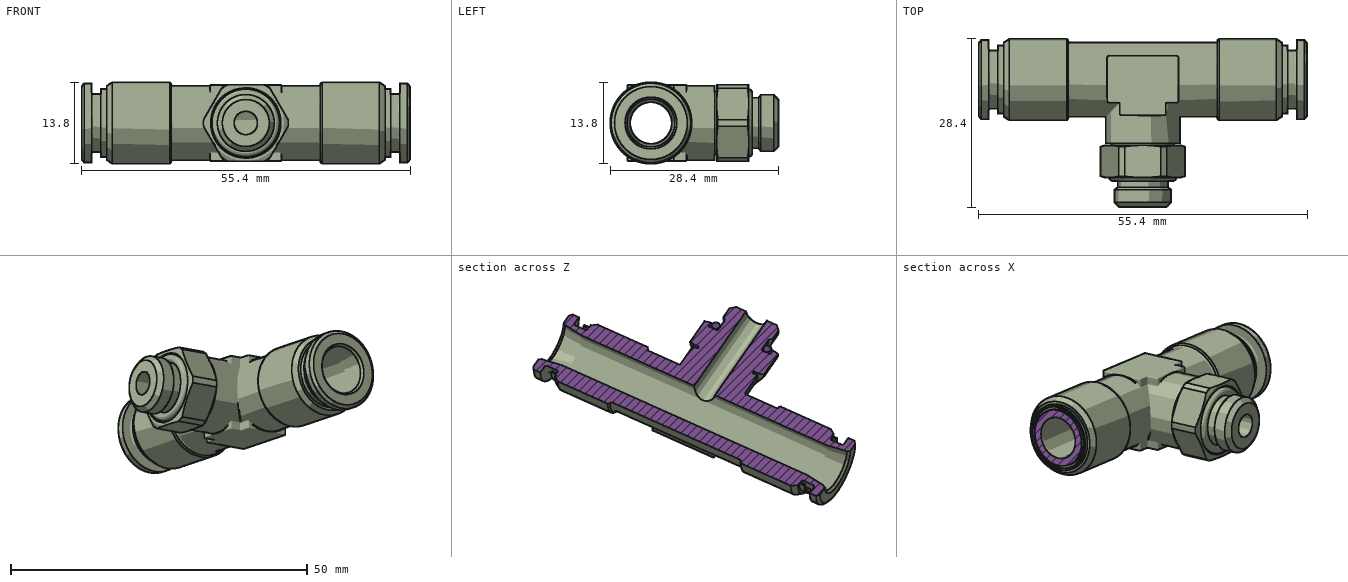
import cadquery as cq
import math


run_half_length = 27.7
barrel_radius = 12.6 / 2
collar_radius = 13.8 / 2
flange_radius = 6.7
flange_length = 1.7
flange_chamfer_length = 0.45
flange_chamfer_depth = 0.55
collet_neck_radius = 4.95
collet_neck_fillet = 0.3
lip_radius = 5.75
lip_gap_radius = 5.4
lip_gap_depth = 0.85
lip_start = 3.25
collar_start = 4.2
collar_cone_length = 1.0
collar_cone_depth = 0.65
collar_end = 15.1
collar_end_chamfer = 0.3
collar_root_fillet = 0.2

bore_radius = 3.5
taper_radius = 4.05
taper_end = 4.05
mouth_length = 0.5
mouth_radius = 4.4

overall_depth = 28.4
stem_end = 10.75
gap_neck_radius = 5.3
hex_start = 11.1
hex_end = 16.5
hex_across_flats = 12.9
hex_corner_radius = 7.15
hex_chamfer_radius = 6.4
hex_chamfer_length = 0.2
thread_neck_radius = 4.25
thread_neck_end = 18.15
thread_radius = 9.6 / 2
thread_lead_in = 0.4
thread_end_chamfer = 0.85
branch_end = overall_depth - collar_radius
branch_bore_radius = 3.95 / 2

ring_thickness_radius = 0.7
ring_centre_radius = thread_neck_radius + ring_thickness_radius
ring_front = 17.1
ring_centre = ring_front - ring_thickness_radius
groove_floor = ring_centre - ring_thickness_radius
groove_radius = 5.95

pad_half_height = 6.4
pad_half_width = 6.0
pad_back = 4.0
pad_step = 3.9
pad_tongue_half_width = pad_step
pad_front = pad_half_width
pad_edge_fillet = 0.2
root_fillet = 0.1


def run_end():
    """Outer shape of the +X run end, collar to collet flange, turned about X."""
    flange_inner = run_half_length - flange_length
    lip_outer = run_half_length - lip_start
    collar_outer = run_half_length - collar_start
    collar_inner = run_half_length - collar_end
    gap_floor = lip_outer - lip_gap_depth
    neck_offset = collet_neck_fillet * (1 - math.sqrt(0.5))
    root_offset = collar_root_fillet * (1 - math.sqrt(0.5))
    return (
        cq.Workplane("XY")
        .moveTo(collar_inner - collar_root_fillet, 0)
        .lineTo(collar_inner - collar_root_fillet, barrel_radius)
        .threePointArc(
            (collar_inner - root_offset, barrel_radius + root_offset),
            (collar_inner, barrel_radius + collar_root_fillet),
        )
        .lineTo(collar_inner, collar_radius - collar_end_chamfer)
        .lineTo(collar_inner + collar_end_chamfer, collar_radius)
        .lineTo(collar_outer - collar_cone_length, collar_radius)
        .lineTo(collar_outer, collar_radius - collar_cone_depth)
        .lineTo(collar_outer, lip_radius)
        .lineTo(lip_outer, lip_radius)
        .lineTo(lip_outer, lip_gap_radius)
        .lineTo(gap_floor, lip_gap_radius)
        .lineTo(gap_floor, collet_neck_radius)
        .lineTo(flange_inner - collet_neck_fillet, collet_neck_radius)
        .threePointArc(
            (flange_inner - neck_offset, collet_neck_radius + neck_offset),
            (flange_inner, collet_neck_radius + collet_neck_fillet),
        )
        .lineTo(flange_inner, flange_radius)
        .lineTo(run_half_length - flange_chamfer_length, flange_radius)
        .lineTo(run_half_length, flange_radius - flange_chamfer_depth)
        .lineTo(run_half_length, 0)
        .close()
        .revolve(360, (0, 0, 0), (1, 0, 0))
    )


def run_bore_half():
    """Bore of the +X half of the run: a cylinder, a tapered socket and a flared mouth."""
    return (
        cq.Workplane("XY")
        .lineTo(0, bore_radius)
        .lineTo(run_half_length - taper_end, bore_radius)
        .lineTo(run_half_length - mouth_length, taper_radius)
        .lineTo(run_half_length, mouth_radius)
        .lineTo(run_half_length, 0)
        .close()
        .revolve(360, (0, 0, 0), (1, 0, 0))
    )


def branch_cylinder(radius, start, end):
    """Cylinder on the branch axis between two distances from the run axis."""
    return cq.Workplane("XZ", origin=(0, -start, 0)).circle(radius).extrude(end - start)


def hexagon():
    """Hexagon with rounded corners, chamfered at both ends."""
    across_corners = hex_across_flats / math.cos(math.pi / 6)
    prism = (
        cq.Workplane("XZ", origin=(0, -hex_start, 0))
        .polygon(6, across_corners)
        .extrude(hex_end - hex_start)
    )
    envelope = (
        cq.Workplane("XY")
        .moveTo(0, -hex_start)
        .lineTo(hex_chamfer_radius, -hex_start)
        .lineTo(hex_corner_radius, -hex_start - hex_chamfer_length)
        .lineTo(hex_corner_radius, -hex_end + hex_chamfer_length)
        .lineTo(hex_chamfer_radius, -hex_end)
        .lineTo(0, -hex_end)
        .close()
        .revolve(360, (0, 0, 0), (0, 1, 0))
    )
    return prism.intersect(envelope)


def threaded_end():
    """Thread neck and plain thread cylinder, turned about Y."""
    return (
        cq.Workplane("XY")
        .moveTo(0, -groove_floor)
        .lineTo(thread_neck_radius, -groove_floor)
        .lineTo(thread_neck_radius, -thread_neck_end)
        .lineTo(thread_radius, -thread_neck_end - thread_lead_in)
        .lineTo(thread_radius, -branch_end + thread_end_chamfer)
        .lineTo(thread_radius - thread_end_chamfer, -branch_end)
        .lineTo(0, -branch_end)
        .close()
        .revolve(360, (0, 0, 0), (0, 1, 0))
    )


def pad_block():
    """T-shaped block through the crossing; its ends stand out as the two pads."""
    block = (
        cq.Workplane("XY", origin=(0, 0, -pad_half_height))
        .moveTo(-pad_half_width, pad_back)
        .lineTo(pad_half_width, pad_back)
        .lineTo(pad_half_width, -pad_step)
        .lineTo(pad_tongue_half_width, -pad_step)
        .lineTo(pad_tongue_half_width, -pad_front)
        .lineTo(-pad_tongue_half_width, -pad_front)
        .lineTo(-pad_tongue_half_width, -pad_step)
        .lineTo(-pad_half_width, -pad_step)
        .close()
        .extrude(2 * pad_half_height)
    )
    return block.edges("|Z").fillet(pad_edge_fillet)


def tee_crossing():
    """Barrel, stem and pads, with the inner corners and the pad rims rounded."""
    length = 2 * (run_half_length - collar_end)
    barrel = cq.Workplane("YZ", origin=(-length / 2, 0, 0)).circle(barrel_radius).extrude(length)
    stem = branch_cylinder(barrel_radius, 0, stem_end)
    crossing = barrel.union(stem).union(pad_block())

    near_crossing = cq.selectors.BoxSelector(
        (-barrel_radius, -barrel_radius, -barrel_radius),
        (barrel_radius, barrel_radius - root_fillet, barrel_radius),
    )
    straight = cq.selectors.StringSyntaxSelector("%LINE")
    crossing = crossing.edges(near_crossing - straight).fillet(root_fillet)
    return crossing.faces("<Z or >Z").edges().fillet(pad_edge_fillet)


def make_fitting():
    """Tee with collets, hexagon and threaded end as one solid."""
    gap_neck = branch_cylinder(gap_neck_radius, stem_end, hex_start)
    groove = branch_cylinder(groove_radius, groove_floor, hex_end)
    branch_bore = branch_cylinder(branch_bore_radius, 0, branch_end)
    return (
        tee_crossing()
        .union(run_end())
        .union(run_end().mirror("YZ"))
        .union(gap_neck)
        .union(hexagon())
        .cut(groove)
        .union(threaded_end())
        .cut(run_bore_half())
        .cut(run_bore_half().mirror("YZ"))
        .cut(branch_bore)
    )


def make_sealing_ring():
    """Round-section ring that touches the thread neck and the groove floor."""
    return (
        cq.Workplane("XY")
        .center(ring_centre_radius, -ring_centre)
        .circle(ring_thickness_radius)
        .revolve(360, (-ring_centre_radius, 0, 0), (-ring_centre_radius, 1, 0))
    )


fitting = make_fitting()
sealing_ring = make_sealing_ring()

result = cq.Compound.makeCompound([fitting.solids().val(), sealing_ring.val()])